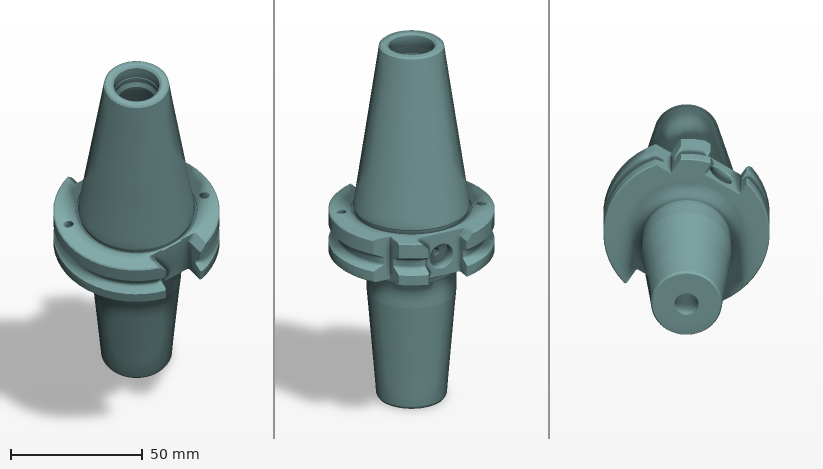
import cadquery as cq
import math

total_height = 148.2
gauge_height = 80.2
flange_top = 78.9
flange_bottom = 61.0
groove_center = 69.1
neck_step_height = 55.9
shank_bottom = 44.5

gauge_radius = 22.2
taper_slope = 7 / 24 / 2
taper_top_radius = gauge_radius - taper_slope * (total_height - gauge_height)
taper_top_chamfer = 0.6
relief_inner_radius = 21.8
relief_outer_radius = 23.1
relief_chamfer = gauge_radius - relief_inner_radius
relief_depth = 0.7
relief_floor = flange_top - relief_depth

flange_diameter = 63.3
flange_radius = flange_diameter / 2
flange_chamfer = 0.5
groove_floor_radius = 28.2
groove_floor_half_width = 1.6
groove_corner_radius = 0.7
groove_wall_height = (flange_radius - groove_floor_radius) * math.tan(math.radians(30))
groove_half_width = groove_floor_half_width + groove_wall_height

neck_radius = 16.6
neck_fillet = flange_bottom - neck_step_height
shank_radius = 17.0
shank_chamfer_height = 0.7
nose_radius = 13.5
nose_chamfer_width = 0.6
nose_chamfer_height = 1.0

drill_tip_angle = 118.0

cut_margin = 7.4

bore_mouth_radius = 9.6
bore_mouth_depth = 0.7
thread_entry_radius = 8.7
thread_entry_depth = 5.8
thread_radius = 8.5
thread_depth = 8.0
bore_shoulder_diameter = 14.1
bore_shoulder_radius = bore_shoulder_diameter / 2
bore_shoulder_depth = 9.2
through_radius = 4.6
shoulder_end_depth = 31.9
through_cone_height = (bore_shoulder_radius - through_radius) / math.tan(math.radians(drill_tip_angle / 2))
through_cone_depth = shoulder_end_depth + through_cone_height

slot_half_width = 8.0
slot_corner_radius = 0.7
slot_mouth_chamfer = 0.6
slot_top_bevel = 3.0
minus_x_slot_floor = 24.8
plus_x_slot_floor = 22.7

notch_x = 18.4
notch_y = 18.7

chip_radius = 4.9
chip_depth = 4.6
chip_chamfer = 0.3
chip_screw_radius = 1.0
chip_screw_depth = 2.2
chip_screw_chamfer = 0.6

coolant_radius = 1.6
coolant_depth = 7.4
coolant_tilt = 35.0
coolant_circle_radius = 27.0
coolant_angle = 70.3


def make_body():
    """Revolve nose, neck, flange and taper, then round the groove floor corners."""
    neck_arc_center = (neck_radius + neck_fillet, neck_step_height)
    arc_offset = neck_fillet * math.sqrt(0.5)
    neck_arc_middle = (neck_arc_center[0] - arc_offset, neck_arc_center[1] + arc_offset)
    body = (
        cq.Workplane("XZ")
        .moveTo(0, 0)
        .lineTo(nose_radius - nose_chamfer_width, 0)
        .lineTo(nose_radius, nose_chamfer_height)
        .lineTo(shank_radius, shank_bottom)
        .lineTo(shank_radius, neck_step_height - shank_chamfer_height)
        .lineTo(neck_radius, neck_step_height)
        .threePointArc(neck_arc_middle, (neck_radius + neck_fillet, flange_bottom))
        .lineTo(flange_radius - flange_chamfer, flange_bottom)
        .lineTo(flange_radius, flange_bottom + flange_chamfer)
        .lineTo(flange_radius, groove_center - groove_half_width)
        .lineTo(groove_floor_radius, groove_center - groove_floor_half_width)
        .lineTo(groove_floor_radius, groove_center + groove_floor_half_width)
        .lineTo(flange_radius, groove_center + groove_half_width)
        .lineTo(flange_radius, flange_top - flange_chamfer)
        .lineTo(flange_radius - flange_chamfer, flange_top)
        .lineTo(relief_outer_radius, flange_top)
        .lineTo(relief_outer_radius, relief_floor)
        .lineTo(relief_inner_radius, relief_floor)
        .lineTo(relief_inner_radius, gauge_height - relief_chamfer)
        .lineTo(gauge_radius, gauge_height)
        .lineTo(taper_top_radius + taper_slope * taper_top_chamfer, total_height - taper_top_chamfer)
        .lineTo(taper_top_radius - taper_top_chamfer, total_height)
        .lineTo(0, total_height)
        .close()
        .revolve(360, (0, 0, 0), (0, 1, 0))
    )
    corner_reach = groove_floor_radius + groove_corner_radius
    corner_box = cq.selectors.BoxSelector(
        (-corner_reach, -corner_reach, groove_center - groove_half_width),
        (corner_reach, corner_reach, groove_center + groove_half_width),
        boundingbox=True,
    )
    return body.edges("%CIRCLE").edges(corner_box).fillet(groove_corner_radius)


def make_bore():
    """Stepped pull-stud socket narrowing into a through bore."""
    return (
        cq.Workplane("XZ")
        .moveTo(0, 0)
        .lineTo(through_radius, 0)
        .lineTo(through_radius, total_height - through_cone_depth)
        .lineTo(bore_shoulder_radius, total_height - shoulder_end_depth)
        .lineTo(bore_shoulder_radius, total_height - bore_shoulder_depth)
        .lineTo(thread_radius, total_height - thread_depth)
        .lineTo(thread_radius, total_height - thread_entry_depth)
        .lineTo(thread_entry_radius, total_height - thread_entry_depth)
        .lineTo(thread_entry_radius, total_height - bore_mouth_depth)
        .lineTo(bore_mouth_radius, total_height)
        .lineTo(0, total_height)
        .close()
        .revolve(360, (0, 0, 0), (0, 1, 0))
    )


def make_slot(floor_x):
    """Drive slot opening toward +X, with bevelled top edges and a flared mouth."""
    outer_x = flange_radius + cut_margin
    top_half_width = slot_half_width + slot_top_bevel
    slot = (
        cq.Workplane("YZ", origin=(floor_x, 0, 0))
        .moveTo(-slot_half_width, flange_bottom)
        .lineTo(slot_half_width, flange_bottom)
        .lineTo(slot_half_width, flange_top - slot_top_bevel)
        .lineTo(top_half_width, flange_top)
        .lineTo(-top_half_width, flange_top)
        .lineTo(-slot_half_width, flange_top - slot_top_bevel)
        .close()
        .extrude(outer_x - floor_x)
        .faces("<X")
        .edges("not(|Y)")
        .fillet(slot_corner_radius)
    )
    mouth_y = slot_half_width + slot_mouth_chamfer
    mouth_x = math.sqrt(flange_radius**2 - mouth_y**2)
    flare_y = mouth_y + outer_x - mouth_x
    mouth = (
        cq.Workplane("XY", origin=(0, 0, flange_bottom))
        .moveTo(mouth_x - slot_mouth_chamfer, -slot_half_width)
        .lineTo(outer_x, -flare_y)
        .lineTo(outer_x, flare_y)
        .lineTo(mouth_x - slot_mouth_chamfer, slot_half_width)
        .close()
        .extrude(flange_top - flange_bottom)
    )
    return slot.union(mouth)


def make_notch():
    """Square notch through the full flange height."""
    reach = flange_radius + cut_margin
    return cq.Workplane("XY").box(
        reach - notch_x, reach - notch_y, flange_top - flange_bottom, centered=False
    ).translate((-reach, notch_y, flange_bottom))


def make_chip_pocket():
    """Round pocket along +X with a chamfered mouth and a small drilled screw hole."""
    screw_mouth_radius = chip_screw_radius + chip_screw_chamfer
    screw_end = chip_depth + chip_screw_depth
    screw_tip_length = chip_screw_radius / math.tan(math.radians(drill_tip_angle / 2))
    return (
        cq.Workplane("XY")
        .moveTo(0, 0)
        .lineTo(0, chip_radius + chip_chamfer)
        .lineTo(chip_chamfer, chip_radius)
        .lineTo(chip_depth, chip_radius)
        .lineTo(chip_depth, screw_mouth_radius)
        .lineTo(chip_depth + chip_screw_chamfer, chip_screw_radius)
        .lineTo(screw_end, chip_screw_radius)
        .lineTo(screw_end + screw_tip_length, 0)
        .close()
        .revolve(360, (0, 0, 0), (1, 0, 0))
        .translate((-minus_x_slot_floor, 0, groove_center))
    )


def make_coolant_hole(angle):
    """Blind hole that leans toward the axis as it goes down."""
    return (
        cq.Workplane("XY")
        .circle(coolant_radius)
        .extrude(coolant_depth + coolant_radius)
        .translate((0, 0, -coolant_depth))
        .rotate((0, 0, 0), (0, 1, 0), coolant_tilt)
        .translate((coolant_circle_radius, 0, flange_top))
        .rotate((0, 0, 0), (0, 0, 1), angle)
    )


result = make_body().cut(make_bore()).cut(make_notch()).cut(make_chip_pocket())
result = result.cut(make_slot(plus_x_slot_floor))
result = result.cut(make_slot(minus_x_slot_floor).rotate((0, 0, 0), (0, 0, 1), 180))
for hole_angle in (coolant_angle, coolant_angle + 180):
    result = result.cut(make_coolant_hole(hole_angle))